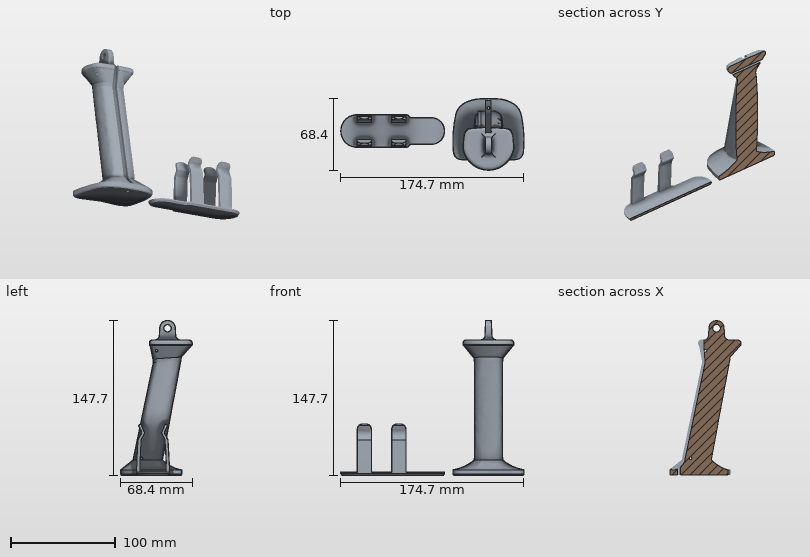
import cadquery as cq
import math


foot_half_width = 33.74
foot_depth = 58.4
foot_notch = 2.5
foot_notch_slope = 0.15
foot_rim_top = 5.2
foot_chamfer_height = 1.1
foot_chamfer_inset = 0.8

column_half_width = 13.5
foot_flare_top = 14.6
flare_bend_height = 11.8
flare_bend_growth = 3.4
column_front = 18.4
column_back = 46.5
neck_tilt = 4.0
neck_center_y = 14.0
neck_height = 108.4
neck_half_depth = 13.2
neck_bend_height = 111.8
neck_bend_half_width = 13.9
neck_bend_half_depth = 13.6

head_half_width = 24.5
head_front = -10.0
head_back = 30.9
head_bottom = 123.6
head_side_bottom = 124.6
head_top = 129.1
head_top_fillet = 3.2
head_underside_inset = 0.5
neck_top_inset = 0.7

total_height = 147.66
lug_center_y = 13.6
lug_radius = 7.5
lug_hole_radius = 3.4
lug_tip_half_thickness = 2.8
lug_half_thickness = 3.4
lug_base_half_depth = 7.9
lug_flare = 4.0
lug_flare_half_depth = 12.4

channel_width = 5.3
channel_depth = 2.5
channel_foot_end = 56.5
channel_foot_end_z = 5.4
foot_hole_radius = 1.2
cord_hole_radius = 1.0
foot_hole_y = 49.3
lower_hole_y = 38.3
lower_hole_z = 16.3
upper_hole_y = 24.0
upper_hole_z = 118.7

plate_left = -140.74
plate_length = 99.0
plate_center_y = 27.4
plate_half_width = 15.65
plate_end_half_width = 12.75
plate_thickness = 3.0
plate_chamfer_height = 1.9
plate_chamfer_inset = 1.1
plate_shoulder_length = 5.4
clip_region_length = 46.6

clip_width = 13.8
clip_root_thickness = 3.3
clip_tip_radius = 5.6
clip_height = 49.1


def round_outline(plane, half_points):
    """Closed smooth wire, mirror-symmetric about local x = 0, that starts at the back middle.

    The points run up the +x side, from the front middle to the back middle.
    """
    loop = half_points[::-1] + [(-x, y) for x, y in half_points[1:]]
    return cq.Workplane(plane).spline(loop, tangents=[(1, 0), (1, 0)]).wire().val()


def creased_outline(plane, half_points, front_slope=0.0):
    """The same kind of wire in two halves, which meet at the front middle with the given slope."""
    mirror = [(-x, y) for x, y in reversed(half_points)]
    return (
        cq.Workplane(plane)
        .moveTo(*half_points[0])
        .spline(half_points[1:], tangents=[(1, -front_slope), (-1, 0)], includeCurrent=True)
        .spline(mirror[1:], tangents=[(-1, 0), (1, front_slope)], includeCurrent=True)
        .close()
        .val()
    )


def level(z):
    return cq.Plane(origin=(0, 0, z), xDir=(1, 0, 0), normal=(0, 0, 1))


def tilted(z):
    angle = math.radians(neck_tilt)
    normal = (0, math.sin(angle), math.cos(angle))
    return cq.Plane(origin=(0, neck_center_y, z), xDir=(1, 0, 0), normal=normal)


def foot_points(inset):
    """Foot outline: creased front edge, tight front corners and broad back corners."""
    side = foot_half_width - inset
    back = foot_depth - inset
    return [
        (0, foot_notch + inset),
        (13, 0.8 + inset),
        (25, inset),
        (side - 4, 1.3 + inset),
        (side - 1, 5),
        (side, 11),
        (side, 26),
        (side - 1.5, 38),
        (side - 4, 47 - inset),
        (side - 9, 52.8 - inset),
        (18, 56.3 - inset),
        (0, back),
    ]


def column_points(half_width, front, back):
    """Column section: rounded front, straight sides and a gently bowed back."""
    return [
        (0, front),
        (0.5 * half_width, front + 1.4),
        (0.85 * half_width, front + 5.2),
        (half_width, front + 12),
        (half_width - 0.4, back - 8),
        (half_width - 2.6, back - 2.8),
        (half_width - 6.5, back - 0.6),
        (0, back),
    ]


def head_points(inset):
    """Head outline: a round front that narrows toward a nearly straight back edge."""
    radius = head_half_width - inset
    center_y = head_front + head_half_width
    back = head_back - inset

    def on_front(degrees):
        angle = math.radians(degrees)
        return (radius * math.sin(angle), center_y - radius * math.cos(angle))

    return [
        on_front(0),
        on_front(25),
        on_front(50),
        on_front(80),
        (23.8 - inset, 19),
        (22.4 - inset, 26 - inset),
        (20.3 - inset, 28.9 - inset),
        (15.5 - inset, 30 - inset),
        (8, back - 0.25),
        (0, back),
    ]


def loft(*wires):
    return cq.Workplane(cq.Solid.makeLoft(list(wires), True))


def column_foot_points():
    return column_points(column_half_width, column_front, column_back)


def make_foot():
    """Foot with a flat rim, flaring up to the column through a rounded bend."""
    bend_points = column_points(
        column_half_width + flare_bend_growth,
        column_front - flare_bend_growth,
        column_back + flare_bend_growth,
    )
    sole = creased_outline(level(0), foot_points(foot_chamfer_inset), foot_notch_slope)
    rim_bottom = creased_outline(level(foot_chamfer_height), foot_points(0), foot_notch_slope)
    rim_top = creased_outline(level(foot_rim_top), foot_points(0), foot_notch_slope)
    bend = creased_outline(level(flare_bend_height), bend_points)
    flare_top = creased_outline(level(foot_flare_top), column_foot_points())
    rim = loft(sole, rim_bottom, rim_top)
    flare = cq.Workplane(cq.Solid.makeLoft([rim_top, bend, flare_top]))
    return rim.union(flare)


def make_column():
    """Leaning column and the neck that widens from its tilted top to the head."""
    column_bottom = round_outline(level(foot_flare_top), column_foot_points())
    column_top = round_outline(
        tilted(neck_height), column_points(column_half_width, -neck_half_depth, neck_half_depth)
    )
    neck_bend = round_outline(
        tilted(neck_bend_height),
        column_points(neck_bend_half_width, -neck_bend_half_depth, neck_bend_half_depth),
    )
    underside = round_outline(level(head_bottom), head_points(neck_top_inset))
    column = loft(column_bottom, column_top)
    neck = loft(column_top, neck_bend).union(loft(neck_bend, underside))
    return column.union(neck)


def make_head():
    underside = round_outline(level(head_bottom), head_points(head_underside_inset))
    side_bottom = round_outline(level(head_side_bottom), head_points(0))
    side_top = round_outline(level(head_top), head_points(0))
    return loft(underside, side_bottom, side_top).faces(">Z").edges().fillet(head_top_fillet)


def make_lug():
    """Upright eye whose base flares out on all four sides, with mitred corners."""
    eye_z = total_height - lug_radius
    eye_diagonal = lug_radius * math.sqrt(0.5)
    flare_z = head_top + lug_flare
    bend = lug_flare * (1 - math.sqrt(0.5))
    root_z = head_top - 1
    flare_y = lug_flare_half_depth
    flare_x = lug_half_thickness + lug_flare
    side = (
        cq.Workplane("YZ", origin=(0, lug_center_y, 0))
        .moveTo(0, total_height)
        .threePointArc((eye_diagonal, eye_z + eye_diagonal), (lug_radius, eye_z))
        .lineTo(lug_base_half_depth, flare_z)
        .tangentArcPoint((flare_y, head_top), relative=False)
        .lineTo(flare_y, root_z)
        .lineTo(0, root_z)
        .mirrorY()
        .extrude(flare_x, both=True)
    )
    front = (
        cq.Workplane("XZ", origin=(0, lug_center_y, 0))
        .moveTo(0, total_height)
        .lineTo(lug_tip_half_thickness, total_height)
        .lineTo(lug_half_thickness, flare_z)
        .threePointArc((lug_half_thickness + bend, head_top + bend), (flare_x, head_top))
        .lineTo(flare_x, root_z)
        .lineTo(0, root_z)
        .mirrorY()
        .extrude(flare_y, both=True)
    )
    eye_hole = (
        cq.Workplane("YZ", origin=(-flare_x, lug_center_y, eye_z))
        .circle(lug_hole_radius)
        .extrude(2 * flare_x)
    )
    return side.intersect(front).cut(eye_hole)


def make_channel():
    """Cord channel that runs from the foot up the back of the column and over the head."""
    column_top_z = neck_height - neck_half_depth * math.sin(math.radians(neck_tilt))
    column_top_back = neck_center_y + neck_half_depth
    lug_back = lug_center_y + lug_flare_half_depth
    outside = foot_depth + 1
    return (
        cq.Workplane("YZ")
        .moveTo(outside, head_top + 1)
        .lineTo(lug_back, head_top + 1)
        .lineTo(lug_back, head_bottom)
        .lineTo(column_top_back - channel_depth, column_top_z)
        .lineTo(column_back - channel_depth, foot_flare_top)
        .tangentArcPoint((channel_foot_end, channel_foot_end_z), relative=False)
        .lineTo(channel_foot_end, foot_flare_top)
        .lineTo(outside, foot_flare_top)
        .close()
        .extrude(channel_width / 2, both=True)
    )


def make_cord_holes():
    foot_hole = cq.Workplane("XY").center(0, foot_hole_y).circle(foot_hole_radius).extrude(foot_flare_top)
    cross_holes = (
        cq.Workplane("YZ", origin=(-foot_half_width, 0, 0))
        .pushPoints([(lower_hole_y, lower_hole_z), (upper_hole_y, upper_hole_z)])
        .circle(cord_hole_radius)
        .extrude(2 * foot_half_width)
    )
    return foot_hole.union(cross_holes)


def make_handle():
    solid = make_foot().union(make_column()).union(make_head())
    return solid.cut(make_channel()).union(make_lug()).cut(make_cord_holes())


def make_plate():
    """Flat plate with a wide round end, and a narrower round end behind an S-shaped shoulder."""
    wide = plate_half_width
    narrow = plate_end_half_width
    shoulder = wide + clip_region_length
    narrow_start = shoulder + plate_shoulder_length
    return (
        cq.Workplane("XY", origin=(plate_left, plate_center_y, 0))
        .moveTo(wide, wide)
        .lineTo(shoulder, wide)
        .spline([(narrow_start, narrow)], tangents=[(1, 0), (1, 0)], includeCurrent=True)
        .lineTo(plate_length - narrow, narrow)
        .threePointArc((plate_length, 0), (plate_length - narrow, -narrow))
        .lineTo(narrow_start, -narrow)
        .spline([(shoulder, -wide)], tangents=[(-1, 0), (-1, 0)], includeCurrent=True)
        .lineTo(wide, -wide)
        .threePointArc((0, 0), (wide, wide))
        .close()
        .extrude(plate_thickness)
        .faces("<Z")
        .edges()
        .chamfer(plate_chamfer_height, plate_chamfer_inset)
    )


def make_clip():
    """Spring clip on the +y side, centred on x = 0: leaning inward, pinched, then flared out."""
    root_z = plate_chamfer_height
    root_y = plate_half_width - clip_root_thickness
    profile = (
        cq.Workplane("YZ")
        .moveTo(plate_half_width, root_z)
        .lineTo(plate_half_width, plate_thickness)
        .lineTo(15.4, 14.3)
        .lineTo(14.3, 33.9)
        .lineTo(11.3, 39.4)
        .threePointArc((11.0, 41.2), (11.9, 43.4))
        .lineTo(13.9, 47.6)
        .lineTo(11.6, clip_height)
        .lineTo(8.9, 42.4)
        .threePointArc((8.2, 40.6), (8.6, 39.2))
        .lineTo(11.4, 33.9)
        .lineTo(root_y, 14.3)
        .lineTo(root_y, root_z)
        .close()
        .extrude(clip_width / 2, both=True)
    )
    rounding = (
        cq.Workplane("XZ")
        .center(0, clip_height / 2)
        .rect(clip_width, clip_height)
        .extrude(-2 * plate_half_width)
        .edges("|Y and >Z")
        .fillet(clip_tip_radius)
    )
    return profile.intersect(rounding)


def make_clip_plate():
    body = make_plate()
    first_x = plate_left + plate_half_width + clip_width / 2
    second_x = first_x + clip_region_length - clip_width
    clip = make_clip()
    for x in (first_x, second_x):
        for turned in (clip, clip.mirror("XZ")):
            body = body.union(turned.translate((x, plate_center_y, 0)))
    return body


handle = make_handle()
clip_plate = make_clip_plate()
result = cq.Compound.makeCompound([handle.val(), clip_plate.val()])